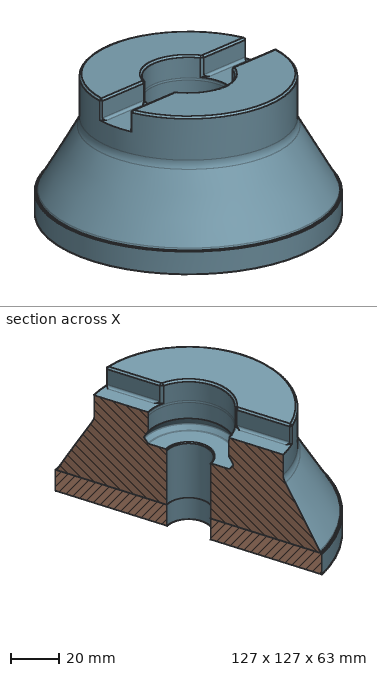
import cadquery as cq
import math

disc_radius = 63.5
disc_height = 10.7
disc_edge_chamfer = 0.32

total_height = 63.0
neck_radius = 90.0 / 2
foot_radius = 125.1 / 2
cone_angle = math.radians(30)
neck_fillet = 7.4
foot_fillet = 2.0

entry_radius = 38.3 / 2
entry_floor = 52.9
entry_taper_height = 0.9
bore_radius = 38.1 / 2
bore_floor = 38.0
through_hole_radius = 20.5 / 2
through_hole_chamfer = 0.5

groove_top = 44.0
groove_radius = 21.2
groove_foot_radius = 19.3
groove_fillet = 0.4
groove_angle = math.radians(30)

slot_width = 16.2
slot_depth = 9.5
slot_floor_fillet = 1.1
edge_chamfer = 0.9


def revolve_profile(profile):
    """Close a profile of (radius, height) and turn it about Z."""
    return profile.close().revolve(360, (0, 0, 0), (0, 1, 0))


def make_disc():
    """Flat round base with the through hole."""
    disc = cq.Workplane("XY").circle(disc_radius).extrude(disc_height)
    disc = disc.edges("%CIRCLE").chamfer(disc_edge_chamfer)
    hole = cq.Workplane("XY").circle(through_hole_radius).extrude(disc_height)
    return disc.cut(hole)


def make_hub_blank():
    """Straight neck, fillet, cone and rounded foot, turned about Z."""
    cos_angle = math.cos(cone_angle)
    sin_angle = math.sin(cone_angle)

    foot_centre_radius = foot_radius - foot_fillet
    cone_foot_height = disc_height + foot_fillet * sin_angle
    cone_foot = (foot_centre_radius + foot_fillet * cos_angle, cone_foot_height)
    foot_arc_middle = (
        foot_centre_radius + foot_fillet * math.cos(cone_angle / 2),
        disc_height + foot_fillet * math.sin(cone_angle / 2),
    )

    neck_corner_height = cone_foot_height + (cone_foot[0] - neck_radius) / math.tan(cone_angle)
    neck_tangent = neck_fillet * math.tan(cone_angle / 2)
    neck_arc_top = neck_corner_height + neck_tangent
    neck_centre_radius = neck_radius + neck_fillet
    cone_top = (neck_centre_radius - neck_fillet * cos_angle, neck_arc_top - neck_fillet * sin_angle)
    neck_arc_middle = (
        neck_centre_radius - neck_fillet * math.cos(cone_angle / 2),
        neck_arc_top - neck_fillet * math.sin(cone_angle / 2),
    )

    return revolve_profile(
        cq.Workplane("XZ")
        .moveTo(0, disc_height)
        .lineTo(foot_radius, disc_height)
        .threePointArc(foot_arc_middle, cone_foot)
        .lineTo(*cone_top)
        .threePointArc(neck_arc_middle, (neck_radius, neck_arc_top))
        .lineTo(neck_radius, total_height)
        .lineTo(0, total_height)
    )


def make_bore():
    """Through hole, bore and wider entry, with a chamfered hole mouth, as one cutter."""
    return revolve_profile(
        cq.Workplane("XZ")
        .moveTo(0, disc_height)
        .lineTo(through_hole_radius, disc_height)
        .lineTo(through_hole_radius, bore_floor - through_hole_chamfer)
        .lineTo(through_hole_radius + through_hole_chamfer, bore_floor)
        .lineTo(bore_radius, bore_floor)
        .lineTo(bore_radius, entry_floor - entry_taper_height)
        .lineTo(entry_radius, entry_floor)
        .lineTo(entry_radius, total_height)
        .lineTo(0, total_height)
    )


def make_groove():
    """V-shaped relief groove as a full round cutter, with its corner and foot rounded."""
    corner_height = groove_top - (groove_radius - bore_radius) / math.tan(groove_angle)
    cutter = revolve_profile(
        cq.Workplane("XZ")
        .moveTo(0, bore_floor)
        .lineTo(groove_foot_radius, bore_floor)
        .lineTo(groove_radius, corner_height)
        .lineTo(bore_radius, groove_top)
        .lineTo(0, groove_top)
    )
    corner = cq.selectors.RadiusNthSelector(-1)
    foot = cq.selectors.RadiusNthSelector(-2)
    return cutter.edges(corner + foot).fillet(groove_fillet)


def make_slot():
    """Plain slot cutter along Y."""
    slot = cq.Workplane("XY").box(slot_width, 2 * neck_radius, slot_depth, centered=(True, True, False))
    return slot.translate((0, 0, total_height - slot_depth))


def make_hub():
    """Hub with bore, groove and slot; the top lands are chamfered, then the slot floor is rounded."""
    hub = make_hub_blank().cut(make_bore()).cut(make_groove()).cut(make_slot())
    slot_wall_ends = hub.faces("|X").edges("|Z")
    hub = hub.faces(">Z").edges().add(slot_wall_ends).chamfer(edge_chamfer)
    return hub.faces("|X").edges("<Z").fillet(slot_floor_fillet)


disc = make_disc()
hub = make_hub()
result = cq.Compound.makeCompound([disc.val(), hub.val()])